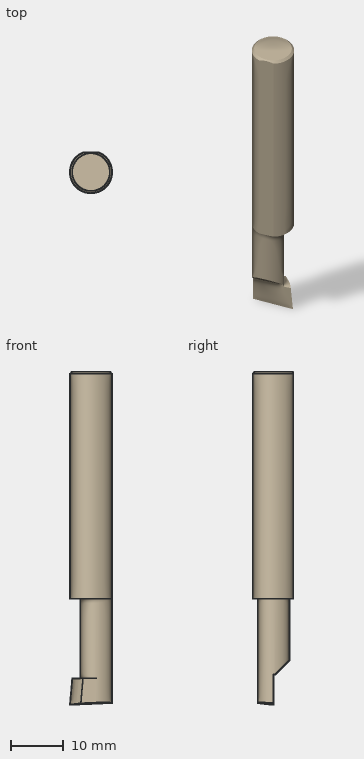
import cadquery as cq
import math

total_length = 63.0
shank_diameter = 8.0
shank_radius = shank_diameter / 2
shank_depth_over_flat = 7.75
flat_y = shank_depth_over_flat - shank_radius
shoulder_z = 20.05
end_chamfer = 0.45

neck_radius = 3.0
neck_x = shank_radius - neck_radius

relief_start_z = 8.45
relief_ledge_width = 0.3
relief_ledge_z = relief_start_z - (neck_radius - relief_ledge_width)

tooth_height = 5.05
side_clearance = 0.45
tip_x = -shank_radius
heel_x, heel_y = -2.8, -2.1
flank_bulge = 0.11
back_x = -1.95

end_angle_x = 2.5
end_angle_y = 4.5

cutter_margin = 3.15


def make_shank():
    shank = (
        cq.Workplane("XY").workplane(offset=shoulder_z)
        .circle(shank_radius).extrude(total_length - shoulder_z)
        .faces(">Z").chamfer(end_chamfer)
    )
    flat_cutter = (
        cq.Workplane("XY").workplane(offset=shoulder_z)
        .center(0, flat_y + shank_radius)
        .rect(shank_diameter, shank_diameter).extrude(total_length - shoulder_z)
    )
    return shank.cut(flat_cutter)


def make_neck():
    neck = cq.Workplane("XY").center(neck_x, 0).circle(neck_radius).extrude(shoulder_z)
    outer_y = neck_radius + cutter_margin
    relief = (
        cq.Workplane("YZ")
        .moveTo(0, -cutter_margin)
        .lineTo(0, relief_ledge_z)
        .lineTo(relief_ledge_width, relief_ledge_z)
        .lineTo(outer_y, relief_start_z + cutter_margin)
        .lineTo(outer_y, -cutter_margin)
        .close()
        .extrude(shank_diameter, both=True)
    )
    return neck.cut(relief)


def tooth_outline(plane, lean):
    """Tooth section; its flank and bevel shift by lean while the root stays put."""
    return (
        plane.moveTo(tip_x + lean, 0)
        .sagittaArc((heel_x + lean, heel_y), -flank_bulge)
        .lineTo(back_x + lean, -neck_radius)
        .lineTo(neck_x, -neck_radius)
        .lineTo(neck_x, 0)
        .close()
    )


def make_tooth():
    bottom = tooth_outline(cq.Workplane("XY"), 0)
    return tooth_outline(bottom.workplane(offset=tooth_height), side_clearance).loft(ruled=True)


def make_end_cutter():
    """Half space below the end face, which passes through the cutting corner."""
    slope_x = math.tan(math.radians(end_angle_x))
    slope_y = math.tan(math.radians(end_angle_y))
    end_plane = cq.Plane(origin=(tip_x, 0, 0), xDir=(1, 0, slope_x), normal=(-slope_x, slope_y, 1))
    cutter_size = 4 * shank_diameter
    return cq.Workplane(end_plane).rect(cutter_size, cutter_size).extrude(-cutter_margin)


tip = make_neck().union(make_tooth()).cut(make_end_cutter())
result = make_shank().union(tip)